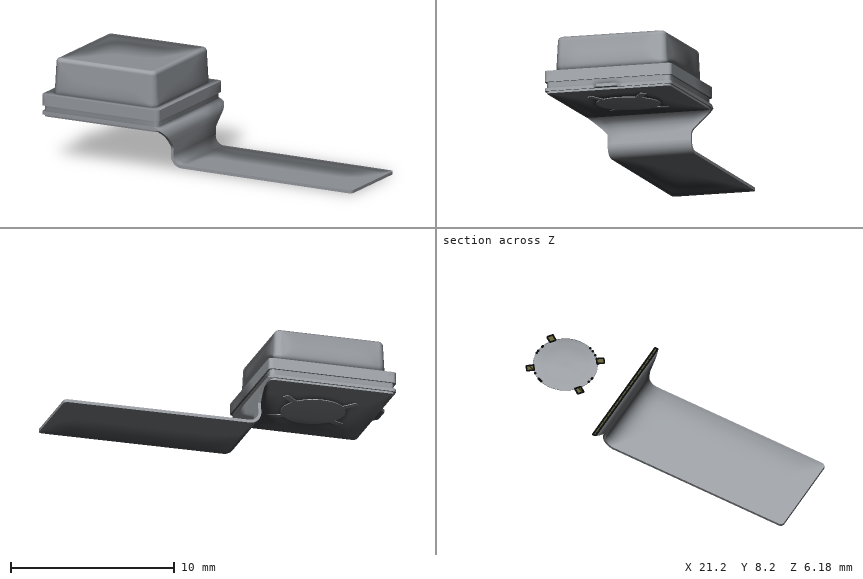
import cadquery as cq
import math

TOTAL_HEIGHT = 6.18
FLANGE_TOP = 3.95
FLANGE_BOTTOM = 3.25
SHEET_TOP = 2.87
SHEET_THICKNESS = 0.2
SHEET_BOTTOM = SHEET_TOP - SHEET_THICKNESS
BASE_BOTTOM = 2.55

FLANGE_SIDE = 8.2
HALF_SIDE = FLANGE_SIDE / 2
LAYER_INSET = 0.1
LAYER_SIDE = FLANGE_SIDE - 2 * LAYER_INSET
CORNER_RADIUS = 0.25

KEY_SIDE = 7.2
KEY_CORNER_RADIUS = 0.47
KEY_DRAFT = 3.2
KEY_TOP_FILLET = 0.25

BEND_OUTER_RADIUS = 0.76
BEND_INNER_RADIUS = BEND_OUTER_RADIUS - SHEET_THICKNESS
FLAP_OUTER_X = 4.45
FLAP_INNER_X = FLAP_OUTER_X - SHEET_THICKNESS
KINK_Z = 1.9
KINK_SHIFT = 0.06
TAIL_END_X = 16.85
TAIL_DROP = 0.06
TAIL_WIDTH = 5.4
TAIL_OFFSET_Y = 0.05
TAIL_LEFT_Y = TAIL_OFFSET_Y + TAIL_WIDTH / 2
TAIL_RIGHT_Y = TAIL_OFFSET_Y - TAIL_WIDTH / 2
TAPER_TOP_Z = 2.65
TAPER_BOTTOM_HALF_WIDTH = 3.19
TAPER_FILLET = 0.47

TAB_LENGTH = 0.3
TAB_TIP_WIDTH = 1.23
TAB_ROOT_WIDTH = 1.78

DOME_DIAMETER = 4.0
DOME_BOTTOM = 2.34
DOME_THICKNESS = 0.05
LEG_LENGTH = 2.9
LEG_WIDTH = 0.42
LEG_ANGLE = 37.0


def rounded_square(side, bottom, top):
    """Upright square block with rounded corners."""
    block = cq.Workplane("XY").workplane(offset=bottom).rect(side, side).extrude(top - bottom)
    return block.edges("|Z").fillet(CORNER_RADIUS)


def make_cap():
    """Drafted key, flange and the slightly smaller spacer step below the flange."""
    key_outline = cq.Sketch().rect(KEY_SIDE, KEY_SIDE).vertices().fillet(KEY_CORNER_RADIUS)
    key = (
        cq.Workplane("XY")
        .workplane(offset=FLANGE_TOP)
        .placeSketch(key_outline)
        .extrude(TOTAL_HEIGHT - FLANGE_TOP, taper=KEY_DRAFT)
        .faces(">Z")
        .edges()
        .fillet(KEY_TOP_FILLET)
    )
    flange = rounded_square(FLANGE_SIDE, FLANGE_BOTTOM, FLANGE_TOP)
    spacer = rounded_square(LAYER_SIDE, SHEET_TOP, FLANGE_BOTTOM)
    return spacer.union(flange).union(key)


def sheet_side_profile():
    """Closed XZ outline of the sheet: plate, bend, flap, kinked leg, second bend and tail."""
    upper_bend_x = FLAP_OUTER_X - BEND_OUTER_RADIUS
    upper_bend_z = SHEET_TOP - BEND_OUTER_RADIUS
    lower_bend_x = FLAP_OUTER_X - KINK_SHIFT + BEND_INNER_RADIUS
    lower_bend_z = BEND_OUTER_RADIUS + TAIL_DROP
    tail_slope = math.atan(TAIL_DROP / (TAIL_END_X - lower_bend_x))
    half_turn = (math.pi / 2 - tail_slope) / 2

    def upper_mid(radius):
        step = radius * math.sqrt(0.5)
        return (upper_bend_x + step, upper_bend_z + step)

    def on_lower_bend(radius, turn):
        return (lower_bend_x - radius * math.cos(turn), lower_bend_z - radius * math.sin(turn))

    return (
        cq.Workplane("XZ")
        .moveTo(-HALF_SIDE, SHEET_TOP)
        .lineTo(upper_bend_x, SHEET_TOP)
        .threePointArc(upper_mid(BEND_OUTER_RADIUS), (FLAP_OUTER_X, upper_bend_z))
        .lineTo(FLAP_OUTER_X, KINK_Z)
        .lineTo(*on_lower_bend(BEND_INNER_RADIUS, 0))
        .threePointArc(
            on_lower_bend(BEND_INNER_RADIUS, half_turn),
            on_lower_bend(BEND_INNER_RADIUS, 2 * half_turn),
        )
        .lineTo(TAIL_END_X, SHEET_THICKNESS)
        .lineTo(TAIL_END_X, 0)
        .lineTo(*on_lower_bend(BEND_OUTER_RADIUS, 2 * half_turn))
        .threePointArc(
            on_lower_bend(BEND_OUTER_RADIUS, half_turn),
            on_lower_bend(BEND_OUTER_RADIUS, 0),
        )
        .lineTo(FLAP_INNER_X, KINK_Z)
        .lineTo(FLAP_INNER_X, upper_bend_z)
        .threePointArc(upper_mid(BEND_INNER_RADIUS), (upper_bend_x, SHEET_BOTTOM))
        .lineTo(-HALF_SIDE, SHEET_BOTTOM)
        .close()
    )


def sheet_end_envelope():
    """Block along X whose YZ outline narrows from the plate width to the tail width."""
    left_neck_z = KINK_Z - (TAPER_BOTTOM_HALF_WIDTH - TAIL_LEFT_Y)
    right_neck_z = KINK_Z - (TAPER_BOTTOM_HALF_WIDTH + TAIL_RIGHT_Y)
    outline = [
        (HALF_SIDE, SHEET_TOP),
        (HALF_SIDE, TAPER_TOP_Z),
        (TAPER_BOTTOM_HALF_WIDTH, KINK_Z),
        (TAIL_LEFT_Y, left_neck_z),
        (TAIL_LEFT_Y, 0),
        (TAIL_RIGHT_Y, 0),
        (TAIL_RIGHT_Y, right_neck_z),
        (-TAPER_BOTTOM_HALF_WIDTH, KINK_Z),
        (-HALF_SIDE, TAPER_TOP_Z),
        (-HALF_SIDE, SHEET_TOP),
    ]
    envelope = (
        cq.Workplane("YZ")
        .workplane(offset=-HALF_SIDE)
        .polyline(outline)
        .close()
        .extrude(HALF_SIDE + TAIL_END_X)
    )
    edge_middle = ((TAIL_END_X - HALF_SIDE) / 2, TAIL_RIGHT_Y, right_neck_z)
    right_neck = cq.selectors.NearestToPointSelector(edge_middle)
    return envelope.edges("|X").edges(right_neck).fillet(TAPER_FILLET)


def make_tab():
    """Trapezoid tab in the plane of the plate."""
    root_x = -HALF_SIDE
    tip_x = root_x - TAB_LENGTH
    outline = [
        (root_x, -TAB_ROOT_WIDTH / 2),
        (root_x, TAB_ROOT_WIDTH / 2),
        (tip_x, TAB_TIP_WIDTH / 2),
        (tip_x, -TAB_TIP_WIDTH / 2),
    ]
    plane = cq.Workplane("XY").workplane(offset=SHEET_BOTTOM)
    return plane.polyline(outline).close().extrude(SHEET_THICKNESS)


def make_sheet():
    """Bent spring sheet with its tab and long tail."""
    full_width = sheet_side_profile().extrude(HALF_SIDE, both=True)
    sheet = full_width.intersect(sheet_end_envelope())
    sheet = sheet.edges("|Z").edges("<X").fillet(CORNER_RADIUS)
    sheet = sheet.edges("|Z").edges(">X").fillet(CORNER_RADIUS)
    return sheet.union(make_tab())


def make_base(sheet):
    """Thin square layer under the sheet, hollowed at its +X edge where the sheet bends down."""
    return rounded_square(LAYER_SIDE, BASE_BOTTOM, SHEET_BOTTOM).cut(sheet)


def make_dome():
    """Shallow spherical shell, lowest at its centre, whose four leg tips meet the base layer."""
    tip_radius = math.hypot(LEG_LENGTH, LEG_WIDTH / 2)
    inner_pole = DOME_BOTTOM + DOME_THICKNESS
    sag = BASE_BOTTOM - inner_pole
    inner_radius = (tip_radius**2 + sag**2) / (2 * sag)
    centre = (0, 0, inner_pole + inner_radius)

    height = BASE_BOTTOM - DOME_BOTTOM
    blank = cq.Workplane("XY").workplane(offset=DOME_BOTTOM).circle(DOME_DIAMETER / 2).extrude(height)
    for angle in (LEG_ANGLE, -LEG_ANGLE):
        leg_pair = (
            cq.Workplane("XY")
            .workplane(offset=DOME_BOTTOM)
            .transformed(rotate=(0, 0, angle))
            .rect(2 * LEG_LENGTH, LEG_WIDTH)
            .extrude(height)
        )
        blank = blank.union(leg_pair)
    outer_ball = cq.Workplane("XY").sphere(inner_radius + DOME_THICKNESS).translate(centre)
    inner_ball = cq.Workplane("XY").sphere(inner_radius).translate(centre)
    return blank.intersect(outer_ball).cut(inner_ball)


cap = make_cap()
sheet = make_sheet()
base = make_base(sheet)
dome = make_dome()

result = cq.Compound.makeCompound([cap.val(), sheet.val(), base.val(), dome.val()])